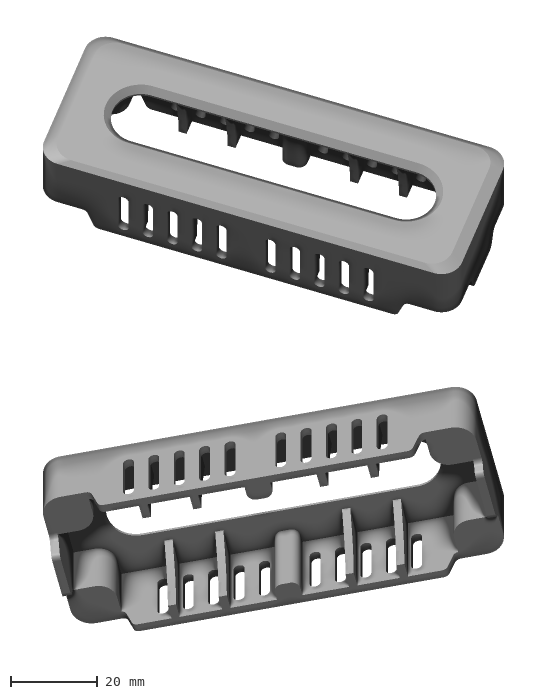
import cadquery as cq
import math

length = 102.3
width = 38.1
height = 21.8
corner_radius = 5.0
wall = 2.0

bevel_height = 0.9
end_bevel = 2.9
side_bevel = 1.4

slot_length = 78.8
slot_width = 13.8
slot_chamfer_width = 1.6
slot_chamfer_depth = 1.4

rim_height = 5.8
tab_fillet = 1.5
tab_slope_angle = 19.5
side_tab_length = 73.9
end_tab_length = 11.5
left_tab_bottom = 2.6
right_tab_bottom = 0.6

vent_width = 2.6
vent_height = 12.8
vent_center = 8.8
vents_per_half = 5
outermost_vent_spacing = 59.9
vent_pitch = outermost_vent_spacing / (2 * vents_per_half)

rib_thickness = 1.9
rib_depth = 5.8
rib_radius = 51.2
rib_arc_height = 14.0
rib_positions = [side * step * vent_pitch for side in (-1, 1) for step in (2.5, 4.5)]

pillar_width = 6.0
pillar_depth = 6.2
pillar_radius = 2.0

block_length = 11.4
block_width = 10.6
block_radius = 4.4

lid_bottom = height - wall
front_face = -width / 2


def rounded_box(size_x, size_y, bottom, top, radius):
    """Upright box centred on the Z axis with rounded vertical edges."""
    box = cq.Workplane("XY").workplane(offset=bottom).rect(size_x, size_y).extrude(top - bottom)
    return box.edges("|Z").fillet(radius)


def rounded_outline(size_x, size_y):
    """Rectangle centred on the Z axis with the outer corner rounding."""
    return cq.Sketch().rect(size_x, size_y).vertices().fillet(corner_radius)


def outer_body():
    """Solid outer form above the rim: upright walls topped by the lid bevel."""
    walls = rounded_box(length, width, rim_height, height - bevel_height, corner_radius)
    lower = rounded_outline(length, width)
    upper = rounded_outline(length - 2 * end_bevel, width - 2 * side_bevel)
    raised_upper = upper.moved(cq.Location(cq.Vector(0, 0, bevel_height)))
    bevel = cq.Workplane("XY").workplane(offset=height - bevel_height).placeSketch(lower, raised_upper).loft()
    return walls.union(bevel)


def lid_slot():
    """Cutter for the lid slot, widening towards the top."""
    rim_length = slot_length + 2 * slot_chamfer_width
    rim_width = slot_width + 2 * slot_chamfer_width
    chamfer_angle = math.degrees(math.atan2(slot_chamfer_width, slot_chamfer_depth))
    through = cq.Workplane("XY").workplane(offset=lid_bottom).slot2D(slot_length, slot_width).extrude(wall)
    rim = (
        cq.Workplane("XY")
        .workplane(offset=height)
        .slot2D(rim_length, rim_width)
        .extrude(-slot_chamfer_depth, taper=chamfer_angle)
    )
    return through.union(rim)


def tabbed_plate(span, base_length, bottom):
    """Wall plate centred on the Z axis, reaching up to the lid, with one tab below the rim.

    base_length is the distance between the sloping tab sides, measured at z = 0.
    """
    run_per_height = math.tan(math.radians(tab_slope_angle))
    half_bottom = base_length / 2 + bottom * run_per_height
    half_top = base_length / 2 + rim_height * run_per_height
    outline = [
        (-span / 2, lid_bottom),
        (-span / 2, rim_height),
        (-half_top, rim_height),
        (-half_bottom, bottom),
        (half_bottom, bottom),
        (half_top, rim_height),
        (span / 2, rim_height),
        (span / 2, lid_bottom),
    ]
    plate = cq.Workplane("XZ").polyline(outline).close().extrude(wall / 2, both=True)
    reach = (half_top + span / 2) / 2
    tab_corners = cq.selectors.BoxSelector((-reach, -wall, -wall), (reach, wall, lid_bottom))
    return plate.edges("|Y").edges(tab_corners).fillet(tab_fillet)


def side_plate():
    """Front wall with its tab, ribs and pillar."""
    plate = tabbed_plate(length - 2 * corner_radius, side_tab_length, 0)
    side = plate.translate((0, front_face + wall / 2, 0))
    for position in rib_positions:
        side = side.union(rib(position))
    return side.union(pillar())


def end_plate(bottom):
    """End wall standing across the X axis, with its tab reaching down to the given height."""
    plate = tabbed_plate(width - 2 * corner_radius, end_tab_length, bottom)
    return plate.rotate((0, 0, 0), (0, 0, 1), 90)


def rib(position):
    """Rib whose inner edge leaves the base upright, curves inwards and runs straight to the lid."""
    root = front_face + wall / 2
    base = front_face + rib_depth
    arc_angle = math.asin(rib_arc_height / rib_radius)
    arc_end = base + rib_radius * (1 - math.cos(arc_angle))
    arc_middle = (
        base + rib_radius * (1 - math.cos(arc_angle / 2)),
        rib_radius * math.sin(arc_angle / 2),
    )
    top = arc_end + (lid_bottom - rib_arc_height) * math.tan(arc_angle)
    profile = (
        cq.Workplane("YZ")
        .moveTo(root, 0)
        .lineTo(base, 0)
        .threePointArc(arc_middle, (arc_end, rib_arc_height))
        .lineTo(top, lid_bottom)
        .lineTo(root, lid_bottom)
        .close()
    )
    return profile.extrude(rib_thickness / 2, both=True).translate((position, 0, 0))


def pillar():
    """Full-height pillar at the middle of the front wall, rounded on its inner corners."""
    root = wall / 2
    depth = pillar_depth - root
    block = cq.Workplane("XY").box(pillar_width, depth, lid_bottom, centered=(True, False, False))
    return block.edges("|Z and >Y").fillet(pillar_radius).translate((0, front_face + root, 0))


def corner_blocks():
    """Blocks in the four corners between rim and lid, flush with the outer corner rounding."""
    corner = (
        cq.Workplane("XY")
        .workplane(offset=rim_height)
        .rect(block_length, block_width)
        .extrude(lid_bottom - rim_height)
        .translate(((length - block_length) / 2, (width - block_width) / 2, 0))
    )
    corner = corner.edges("|Z and >X and >Y").fillet(corner_radius)
    corner = corner.edges("|Z and <X and <Y").fillet(block_radius)
    right = corner.union(corner.mirror("XZ"))
    return right.union(right.mirror("YZ"))


def vents():
    """Cutters for the vents, passing through both long walls."""
    steps = range(1, vents_per_half + 1)
    centers = [(side * step * vent_pitch, vent_center) for side in (-1, 1) for step in steps]
    outlines = cq.Workplane("XZ").pushPoints(centers).slot2D(vent_height, vent_width, 90)
    return outlines.extrude(width, both=True)


inner_length = length - 2 * wall
inner_width = width - 2 * wall
cavity = rounded_box(inner_length, inner_width, rim_height, lid_bottom, corner_radius - wall)

front = side_plate()
end_offset = (length - wall) / 2
left = end_plate(left_tab_bottom).translate((-end_offset, 0, 0))
right = end_plate(right_tab_bottom).translate((end_offset, 0, 0))

result = outer_body().cut(cavity)
for piece in (corner_blocks(), front, front.mirror("XZ"), left, right):
    result = result.union(piece)
result = result.cut(lid_slot()).cut(vents())